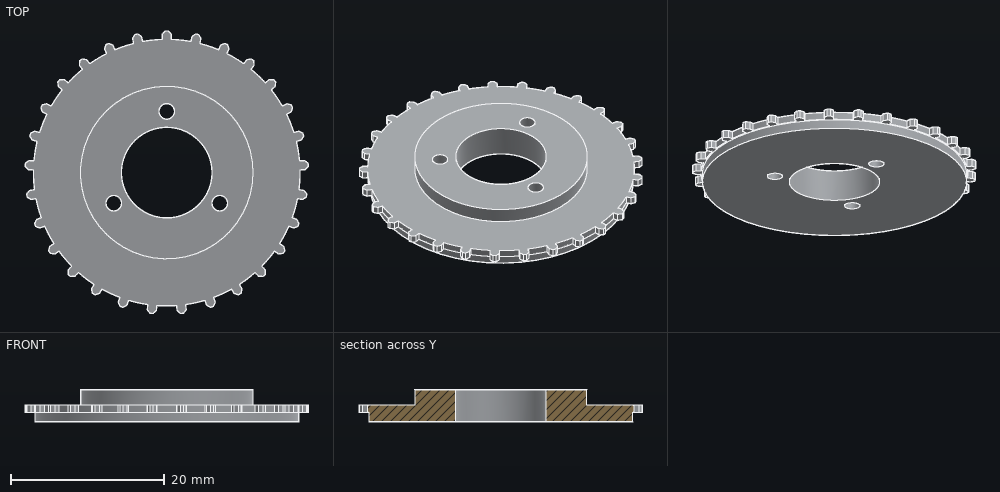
import cadquery as cq
import math

flange_thickness = 1.22
tooth_thickness = 1.0
hub_thickness = 2.0
total_height = flange_thickness + tooth_thickness + hub_thickness

flange_diameter = 34.5
root_diameter = 34.8
hub_diameter = 22.5
bore_diameter = 11.8
bolt_hole_diameter = 2.0
bolt_circle_radius = 8.0
bolt_hole_count = 3

overall_width = 36.95
tooth_count = 29
tooth_width = 1.22
tip_width = 0.4
bevel_height = 0.45

quarter_pitch = math.radians(360 / tooth_count / 4)
tip_radius = (overall_width / 2 - tip_width / 2 * math.sin(quarter_pitch)) / math.cos(quarter_pitch)

first_angle = 90


def disc(diameter, thickness, bottom):
    return cq.Workplane("XY").workplane(offset=bottom).circle(diameter / 2).extrude(thickness)


def tooth(angle):
    """One straight-sided tooth with a bevelled end, pointing outward at the given angle."""
    half_width = tooth_width / 2
    shoulder = tip_radius - bevel_height
    foot = root_diameter / 2 - tooth_width
    return (
        cq.Workplane("XY")
        .workplane(offset=flange_thickness)
        .moveTo(foot, -half_width)
        .lineTo(shoulder, -half_width)
        .lineTo(tip_radius, -tip_width / 2)
        .lineTo(tip_radius, tip_width / 2)
        .lineTo(shoulder, half_width)
        .lineTo(foot, half_width)
        .close()
        .extrude(tooth_thickness)
        .rotate((0, 0, 0), (0, 0, 1), angle)
    )


def toothed_disc():
    wheel = disc(root_diameter, tooth_thickness, flange_thickness)
    for index in range(tooth_count):
        wheel = wheel.union(tooth(first_angle + index * 360 / tooth_count))
    return wheel


def bolt_holes():
    return (
        cq.Workplane("XY")
        .polarArray(bolt_circle_radius, first_angle, 360, bolt_hole_count)
        .circle(bolt_hole_diameter / 2)
        .extrude(total_height)
    )


flange = disc(flange_diameter, flange_thickness, 0)
hub = disc(hub_diameter, hub_thickness, flange_thickness + tooth_thickness)
bore = disc(bore_diameter, total_height, 0)

result = toothed_disc().union(flange).union(hub).cut(bore).cut(bolt_holes())